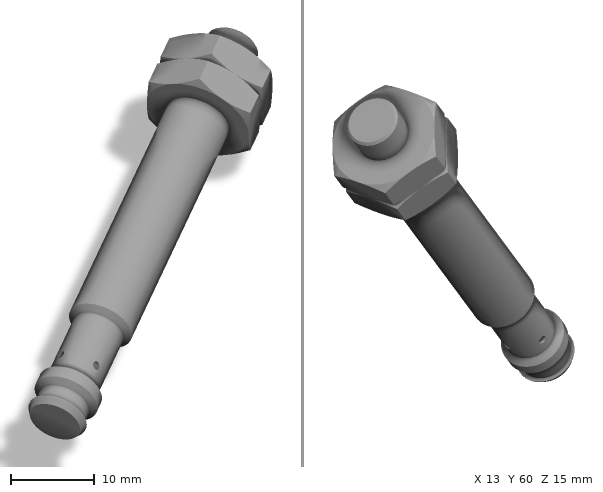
import cadquery as cq
import math

total_length = 60.0
body_radius = 4.0
neck_radius = 3.25
shoulder_chamfer = 0.7

tip_radius = 3.7
tip_width = 0.95
tip_rim = 0.1

collar_start = 3.0
collar_end = 6.0

body_start = 14.5
plain_end_length = 4.0
plain_end_chamfer = 0.3

nut_across_flats = 13.0
nut_width = 4.0
nut_count = 2
nut_chamfer_angle = 30.0

hole_y = 8.0
hole_diameter = 1.0
hole_depth = 0.35
hole_angles = (45, 135, 225, 315)

body_end = total_length - plain_end_length


def make_shaft():
    """Revolve the stepped profile, given as (radius, y), about the Y axis."""
    profile = [
        (0, 0),
        (neck_radius, 0),
        (tip_radius, tip_width - tip_rim),
        (tip_radius, tip_width),
        (neck_radius, tip_width),
        (neck_radius, collar_start),
        (body_radius, collar_start + shoulder_chamfer),
        (body_radius, collar_end - shoulder_chamfer),
        (neck_radius, collar_end),
        (neck_radius, body_start),
        (body_radius, body_start + shoulder_chamfer),
        (body_radius, body_end),
        (neck_radius, body_end),
        (neck_radius, total_length - plain_end_chamfer),
        (neck_radius - plain_end_chamfer, total_length),
        (0, total_length),
    ]
    return cq.Workplane("XY").polyline(profile).close().revolve(360, (0, 0), (0, 1))


def make_nut(y_start):
    """Hexagon nut with corners pointing along Z and conical chamfers on both faces."""
    corner_radius = nut_across_flats / 2 / math.cos(math.radians(30))
    face_radius = nut_across_flats / 2
    chamfer_height = (corner_radius - face_radius) * math.tan(math.radians(nut_chamfer_angle))
    y_end = y_start + nut_width
    hexagon = (
        cq.Workplane("XZ", origin=(0, y_start, 0))
        .transformed(rotate=(0, 0, 90))
        .polygon(6, 2 * corner_radius)
        .extrude(-nut_width)
    )
    envelope = (
        cq.Workplane("XY")
        .polyline([
            (0, y_start),
            (face_radius, y_start),
            (corner_radius, y_start + chamfer_height),
            (corner_radius, y_end - chamfer_height),
            (face_radius, y_end),
            (0, y_end),
        ])
        .close()
        .revolve(360, (0, 0), (0, 1))
    )
    return hexagon.intersect(envelope)


def make_neck_hole(angle):
    """Radial cutter reaching from outside the neck down to the hole floor."""
    direction = cq.Vector(math.cos(math.radians(angle)), 0, math.sin(math.radians(angle)))
    floor = direction * (neck_radius - hole_depth) + cq.Vector(0, hole_y, 0)
    return cq.Solid.makeCylinder(hole_diameter / 2, 2 * hole_depth, floor, direction)


result = make_shaft()
for index in range(nut_count):
    result = result.union(make_nut(body_end - (index + 1) * nut_width))
for hole_angle in hole_angles:
    result = result.cut(make_neck_hole(hole_angle))

result = result.translate((0, -total_length / 2, 0))